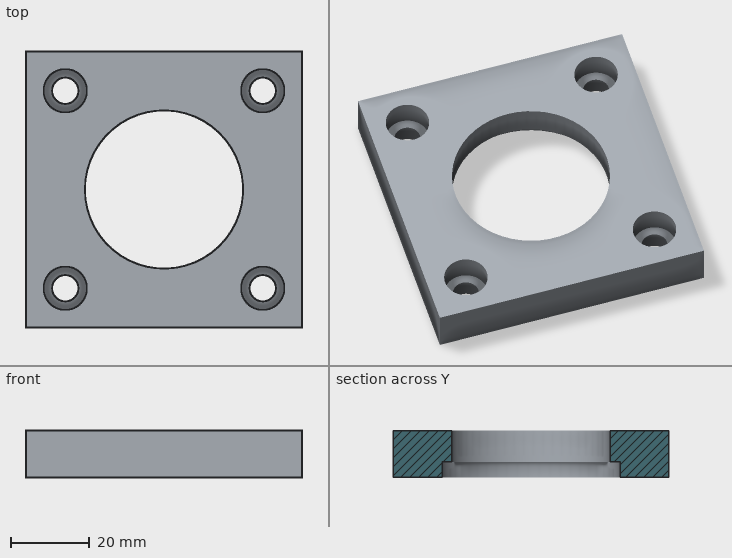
import cadquery as cq

plate_side = 70.0
plate_thickness = 12.0

bore_diameter = 40.0
recess_diameter = 45.0
recess_depth = 4.0

screw_spacing = 50.0
screw_hole_diameter = 6.6
counterbore_diameter = 11.0
counterbore_depth = 7.0


def make_plate():
    """Square plate centred on the origin, resting on Z = 0."""
    return cq.Workplane("XY").box(
        plate_side, plate_side, plate_thickness, centered=(True, True, False)
    )


def cut_bore(body):
    """Cut the central through bore and its recess from below."""
    bored = body.faces(">Z").workplane().hole(bore_diameter)
    recess = cq.Workplane("XY").circle(recess_diameter / 2).extrude(recess_depth)
    return bored.cut(recess)


def cut_screw_holes(body):
    """Cut the four screw holes, counterbored from the top face."""
    return (
        body.faces(">Z")
        .workplane()
        .rect(screw_spacing, screw_spacing, forConstruction=True)
        .vertices()
        .cboreHole(screw_hole_diameter, counterbore_diameter, counterbore_depth)
    )


result = cut_screw_holes(cut_bore(make_plate()))